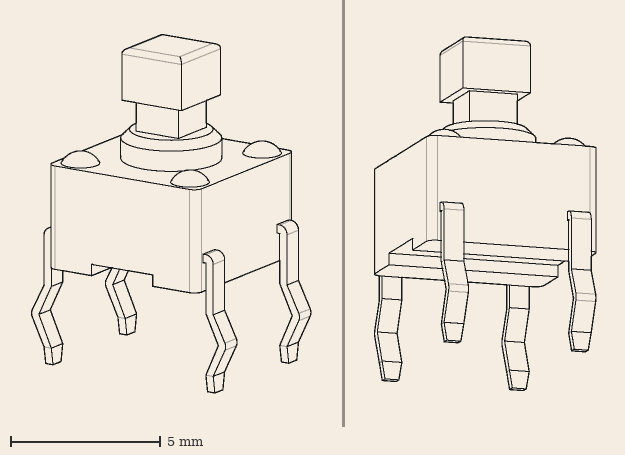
import cadquery as cq
import math

TOTAL_HEIGHT = 11.0
BODY_BOTTOM = 3.5
BODY_TOP = 7.1
COLLAR_TOP = 8.1
CAP_BOTTOM = 9.2

BODY_SIDE = 6.0
BODY_CORNER_RADIUS = 0.3
NOTCH_WIDTH = 2.45
NOTCH_HEIGHT = 0.4

COLLAR_DIAMETER = 3.4
COLLAR_CHAMFER = 0.3
STEM_SIDE = 1.7
CAP_SIDE = 2.4
CAP_EDGE_RADIUS = 0.2

RIVET_DIAMETER = 1.3
RIVET_HEIGHT = 0.4
RIVET_OFFSET = 2.2

LEG_OFFSET_Y = 2.25
LEG_WIDTH = 0.7
LEG_TIP_WIDTH = 0.5
LEG_THICKNESS = 0.3
LEG_OUTER_X = 3.4
LEG_SPAN = 7.8
LEG_BEND_Z = 4.5
LEG_UPPER_KINK_Z = 2.75
LEG_KNEE_Z = 1.7
LEG_LOWER_KINK_Z = 0.6


def make_body():
    """Square block with rounded upright edges and a notch along Y underneath."""
    body = (
        cq.Workplane("XY", origin=(0, 0, BODY_BOTTOM))
        .rect(BODY_SIDE, BODY_SIDE)
        .extrude(BODY_TOP - BODY_BOTTOM)
        .edges("|Z")
        .fillet(BODY_CORNER_RADIUS)
    )
    notch = (
        cq.Workplane("XY", origin=(0, 0, BODY_BOTTOM))
        .rect(NOTCH_WIDTH, BODY_SIDE)
        .extrude(NOTCH_HEIGHT)
    )
    return body.cut(notch)


def make_plunger():
    """Chamfered round collar carrying a square stem and a wider square cap."""
    collar = (
        cq.Workplane("XY", origin=(0, 0, BODY_TOP))
        .circle(COLLAR_DIAMETER / 2)
        .extrude(COLLAR_TOP - BODY_TOP)
        .faces(">Z")
        .chamfer(COLLAR_CHAMFER)
    )
    stem = (
        cq.Workplane("XY", origin=(0, 0, COLLAR_TOP))
        .rect(STEM_SIDE, STEM_SIDE)
        .extrude(CAP_BOTTOM - COLLAR_TOP)
    )
    cap = (
        cq.Workplane("XY", origin=(0, 0, CAP_BOTTOM))
        .rect(CAP_SIDE, CAP_SIDE)
        .extrude(TOTAL_HEIGHT - CAP_BOTTOM)
        .faces(">Z")
        .edges()
        .fillet(CAP_EDGE_RADIUS)
    )
    return collar.union(stem).union(cap)


def make_rivet_head():
    """Spherical cap on the Z axis, standing on the top face of the body."""
    base_radius = RIVET_DIAMETER / 2
    sphere_radius = (base_radius**2 + RIVET_HEIGHT**2) / (2 * RIVET_HEIGHT)
    mid_angle = math.asin(base_radius / sphere_radius) / 2
    mid_point = (
        sphere_radius * math.sin(mid_angle),
        RIVET_HEIGHT - sphere_radius * (1 - math.cos(mid_angle)),
    )
    return (
        cq.Workplane("XZ")
        .lineTo(base_radius, 0)
        .threePointArc(mid_point, (0, RIVET_HEIGHT))
        .close()
        .revolve(360, (0, 0), (0, 1))
        .translate((0, 0, BODY_TOP))
    )


def make_leg():
    """Leg on the +X side, centred on Y = 0: bend, knee pointing outward, tapered tip."""
    reach_x = LEG_SPAN / 2
    inner_x = LEG_OUTER_X - LEG_THICKNESS
    knee_inner_x = reach_x - LEG_THICKNESS
    leg_top = LEG_BEND_Z + LEG_THICKNESS
    half_turn = math.sqrt(0.5) * LEG_THICKNESS
    upper_angle = math.atan2(knee_inner_x - inner_x, LEG_UPPER_KINK_Z - LEG_KNEE_Z)
    lower_angle = math.atan2(knee_inner_x - inner_x, LEG_KNEE_Z - LEG_LOWER_KINK_Z)

    def knee_outer(angle):
        """Point at the given angle on the rounded outside of the knee."""
        return (
            knee_inner_x + LEG_THICKNESS * math.cos(angle),
            LEG_KNEE_Z + LEG_THICKNESS * math.sin(angle),
        )

    strip = (
        cq.Workplane("XZ")
        .moveTo(BODY_SIDE / 2, LEG_BEND_Z)
        .lineTo(inner_x, LEG_BEND_Z)
        .lineTo(inner_x, LEG_UPPER_KINK_Z)
        .lineTo(knee_inner_x, LEG_KNEE_Z)
        .lineTo(inner_x, LEG_LOWER_KINK_Z)
        .lineTo(inner_x, 0)
        .lineTo(LEG_OUTER_X, 0)
        .lineTo(LEG_OUTER_X, LEG_LOWER_KINK_Z)
        .lineTo(*knee_outer(-lower_angle))
        .threePointArc((reach_x, LEG_KNEE_Z), knee_outer(upper_angle))
        .lineTo(LEG_OUTER_X, LEG_UPPER_KINK_Z)
        .lineTo(LEG_OUTER_X, LEG_BEND_Z)
        .threePointArc(
            (inner_x + half_turn, LEG_BEND_Z + half_turn),
            (inner_x, leg_top),
        )
        .lineTo(BODY_SIDE / 2, leg_top)
        .close()
        .extrude(LEG_WIDTH / 2, both=True)
    )
    outline = (
        cq.Workplane("YZ")
        .polyline([
            (-LEG_TIP_WIDTH / 2, 0),
            (LEG_TIP_WIDTH / 2, 0),
            (LEG_WIDTH / 2, LEG_LOWER_KINK_Z),
            (LEG_WIDTH / 2, leg_top),
            (-LEG_WIDTH / 2, leg_top),
            (-LEG_WIDTH / 2, LEG_LOWER_KINK_Z),
        ])
        .close()
        .extrude(reach_x)
    )
    return strip.intersect(outline)


result = make_body().union(make_plunger())

rivet_head = make_rivet_head()
leg = make_leg()
opposite_leg = leg.mirror("YZ")

for y_side in (-1, 1):
    for x_side in (-1, 1):
        result = result.union(rivet_head.translate((x_side * RIVET_OFFSET, y_side * RIVET_OFFSET, 0)))
    for side_leg in (leg, opposite_leg):
        result = result.union(side_leg.translate((0, y_side * LEG_OFFSET_Y, 0)))